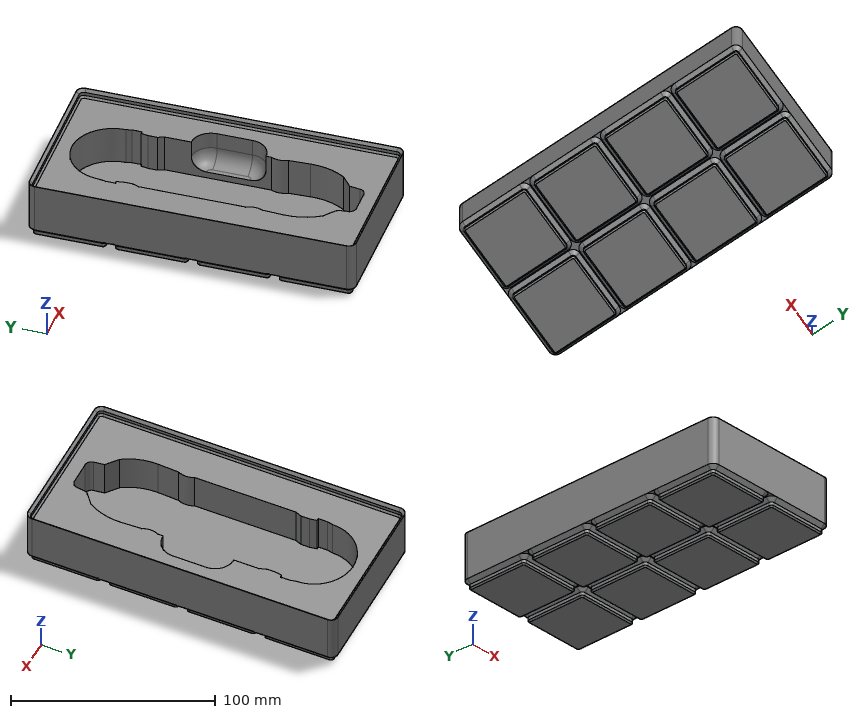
import cadquery as cq
import math

CELLS_X = 2
CELLS_Y = 4
LENGTH = 167.5
WIDTH = 83.5
HEIGHT = 31.3
CORNER_RADIUS = 3.9

FOOT_WIDTH = 41.5
FOOT_LOWER_CHAMFER = 0.8
FOOT_STRAIGHT = 1.8
FOOT_UPPER_CHAMFER = 2.2
FOOT_HEIGHT = FOOT_LOWER_CHAMFER + FOOT_STRAIGHT + FOOT_UPPER_CHAMFER

LIP_LAND = 0.08
LIP_UPPER_CHAMFER = 1.47
LIP_STRAIGHT = 1.8
LIP_LOWER_CHAMFER = 1.0
LIP_DEPTH = LIP_UPPER_CHAMFER + LIP_STRAIGHT + LIP_LOWER_CHAMFER
DECK_Z = HEIGHT - LIP_DEPTH

POCKET_DEPTH = 20.1
HEAD_RADIUS = 21.1
HEAD_CENTER_Y = 53.0
HEAD_HALF_WIDTH = 21.8
HEAD_WIDEST_Y = 49.9
HEAD_END_Y = 44.9
BODY_HALF_WIDTH = 21.1
UPPER_NECK_HALF_WIDTH = 19.8
UPPER_NECK_SHOULDER = 20.5
UPPER_NECK_TOP_Y = 41.2
UPPER_NECK_BOTTOM_Y = 36.3
BODY_TOP_Y = 33.2
BODY_BOTTOM_Y = -21.6
LOWER_NECK_HALF_WIDTH = 20.1
LOWER_NECK_Y = -26.6
TAIL_TOP_Y = -30.3
TAIL_HALF_WIDTH = 21.6
TAIL_WIDEST_Y = -41.5
TAIL_SIDE = (20.0, -53.1)
TAIL_END = (16.5, -60.0)
TIP_ROOT = (10.2, -65.2)
TIP_END_HALF_WIDTH = 9.0
TIP_END_Y = -73.7
TIP_CORNER_RADIUS = 3.4

RECESS_DEPTH = 16.5
RECESS_LENGTH = 38.2
RECESS_CENTER_Y = 0.3
RECESS_OUTER_X = 31.3
RECESS_CORNER_RADIUS = 10.0
RECESS_FLOOR_FILLET = 7.7


def rounded_block(size_x, size_y, height, radius):
    """Block standing on Z = 0 with rounded vertical edges."""
    block = cq.Workplane("XY").box(size_x, size_y, height, centered=(True, True, False))
    return block.edges("|Z").fillet(radius)


def flared_plug(size_x, size_y, lower, straight, upper):
    """Solid widening upward by a 45 degree flare, a straight wall and a second flare."""
    waist_x = size_x - 2 * upper
    waist_y = size_y - 2 * upper
    waist_radius = CORNER_RADIUS - upper
    waist = rounded_block(waist_x, waist_y, lower + straight, waist_radius)
    waist = waist.faces("<Z").edges().chamfer(lower)
    waist_outline = cq.Sketch().rect(waist_x, waist_y).vertices().fillet(waist_radius)
    top_outline = cq.Sketch().rect(size_x, size_y).vertices().fillet(CORNER_RADIUS)
    flare = (
        cq.Workplane("XY")
        .placeSketch(waist_outline, top_outline.moved(cq.Location(cq.Vector(0, 0, upper))))
        .loft()
        .translate((0, 0, lower + straight))
    )
    return waist.union(flare)


def make_body():
    """Plain block carried on a grid of flared feet."""
    body = rounded_block(WIDTH, LENGTH, HEIGHT - FOOT_HEIGHT, CORNER_RADIUS)
    body = body.translate((0, 0, FOOT_HEIGHT))
    foot = flared_plug(
        FOOT_WIDTH, FOOT_WIDTH, FOOT_LOWER_CHAMFER, FOOT_STRAIGHT, FOOT_UPPER_CHAMFER
    )
    pitch_x = (WIDTH - FOOT_WIDTH) / (CELLS_X - 1)
    pitch_y = (LENGTH - FOOT_WIDTH) / (CELLS_Y - 1)
    for column in range(CELLS_X):
        for row in range(CELLS_Y):
            x = (column - (CELLS_X - 1) / 2) * pitch_x
            y = (row - (CELLS_Y - 1) / 2) * pitch_y
            body = body.union(foot.translate((x, y, 0)))
    return body


def make_lip_cavity():
    """Space inside the stacking lip, with its floor at deck level."""
    opening_x = WIDTH - 2 * LIP_LAND
    opening_y = LENGTH - 2 * LIP_LAND
    plug = flared_plug(
        opening_x, opening_y, LIP_LOWER_CHAMFER, LIP_STRAIGHT, LIP_UPPER_CHAMFER
    )
    return plug.translate((0, 0, DECK_Z))


def make_pocket():
    """Pocket shaped after the stored tool: one half outline, mirrored."""
    head_diagonal = HEAD_RADIUS * math.sqrt(0.5)
    tail_top = (BODY_HALF_WIDTH, TAIL_TOP_Y)
    half_outline = (
        cq.Workplane("XY")
        .workplane(offset=DECK_Z - POCKET_DEPTH)
        .moveTo(0, HEAD_CENTER_Y + HEAD_RADIUS)
        .threePointArc(
            (head_diagonal, HEAD_CENTER_Y + head_diagonal),
            (HEAD_RADIUS, HEAD_CENTER_Y),
        )
        .lineTo(HEAD_HALF_WIDTH, HEAD_WIDEST_Y)
        .lineTo(HEAD_HALF_WIDTH, HEAD_END_Y)
        .lineTo(UPPER_NECK_SHOULDER, HEAD_END_Y)
        .lineTo(UPPER_NECK_HALF_WIDTH, UPPER_NECK_TOP_Y)
        .lineTo(UPPER_NECK_HALF_WIDTH, UPPER_NECK_BOTTOM_Y)
        .lineTo(BODY_HALF_WIDTH, BODY_TOP_Y)
        .lineTo(BODY_HALF_WIDTH, BODY_BOTTOM_Y)
        .threePointArc((LOWER_NECK_HALF_WIDTH, LOWER_NECK_Y), tail_top)
        .lineTo(TAIL_HALF_WIDTH, TAIL_WIDEST_Y)
        .threePointArc(TAIL_SIDE, TAIL_END)
        .lineTo(*TIP_ROOT)
        .lineTo(TIP_END_HALF_WIDTH, TIP_END_Y)
        .lineTo(0, TIP_END_Y)
        .close()
    )
    half = half_outline.extrude(POCKET_DEPTH)
    tip_corner = (TIP_END_HALF_WIDTH, TIP_END_Y, DECK_Z - POCKET_DEPTH / 2)
    half = half.edges(cq.selectors.NearestToPointSelector(tip_corner)).fillet(TIP_CORNER_RADIUS)
    return half.union(half.mirror("YZ"))


def make_finger_recess():
    """Rounded recess that opens into the pocket's +X side."""
    recess = rounded_block(2 * RECESS_OUTER_X, RECESS_LENGTH, RECESS_DEPTH, RECESS_CORNER_RADIUS)
    recess = recess.faces("<Z").edges().fillet(RECESS_FLOOR_FILLET)
    side = cq.Workplane("XY").box(
        RECESS_OUTER_X, RECESS_LENGTH, RECESS_DEPTH, centered=(False, True, False)
    )
    return recess.intersect(side).translate((0, RECESS_CENTER_Y, DECK_Z - RECESS_DEPTH))


result = (
    make_body()
    .cut(make_lip_cavity())
    .cut(make_pocket())
    .cut(make_finger_recess())
)